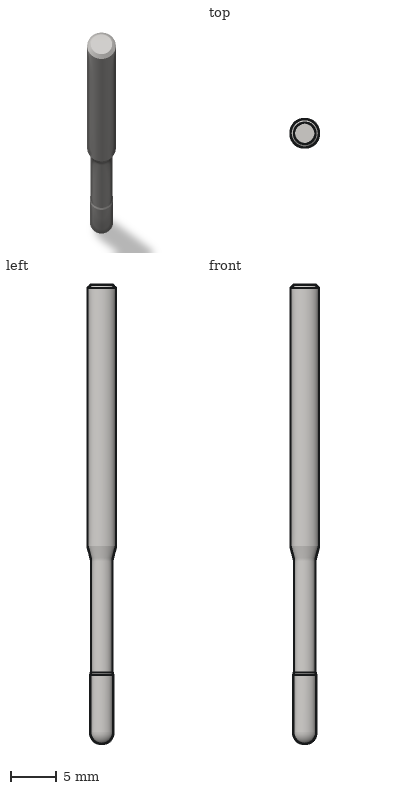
import cadquery as cq

total_length = 50.8
shank_diameter = 3.175
neck_diameter = 2.4
head_diameter = 2.6
end_chamfer = 0.4
taper_bottom = 20.35
taper_length = 1.45
blend_radius = 0.75
head_top = 7.6
shoulder_length = 0.3
selection_margin = 0.05

shank_radius = shank_diameter / 2
neck_radius = neck_diameter / 2
head_radius = head_diameter / 2


def make_shank():
    """Shank with chamfered end, taper, thin neck and a shoulder at the joint."""
    turned_blank = (
        cq.Workplane("XZ")
        .moveTo(0, head_top)
        .lineTo(head_radius, head_top)
        .lineTo(neck_radius, head_top + shoulder_length)
        .lineTo(neck_radius, taper_bottom)
        .lineTo(shank_radius, taper_bottom + taper_length)
        .lineTo(shank_radius, total_length - end_chamfer)
        .lineTo(shank_radius - end_chamfer, total_length)
        .lineTo(0, total_length)
        .close()
        .revolve(360, (0, 0, 0), (0, 1, 0))
    )
    neck_corner = cq.selectors.BoxSelector(
        (-shank_radius, -shank_radius, taper_bottom - selection_margin),
        (shank_radius, shank_radius, taper_bottom + selection_margin),
    )
    taper_edge = turned_blank.edges("%CIRCLE").edges(neck_corner)
    return taper_edge.fillet(blend_radius)


def make_ball_head():
    """Cylindrical head whose lower end is a full hemisphere."""
    cylinder = (
        cq.Workplane("XY")
        .workplane(offset=head_radius)
        .circle(head_radius)
        .extrude(head_top - head_radius)
    )
    ball = cq.Workplane("XY").sphere(head_radius).translate((0, 0, head_radius))
    return cylinder.union(ball)


shank = make_shank()
ball_head = make_ball_head()

result = cq.Compound.makeCompound([shank.val(), ball_head.val()])